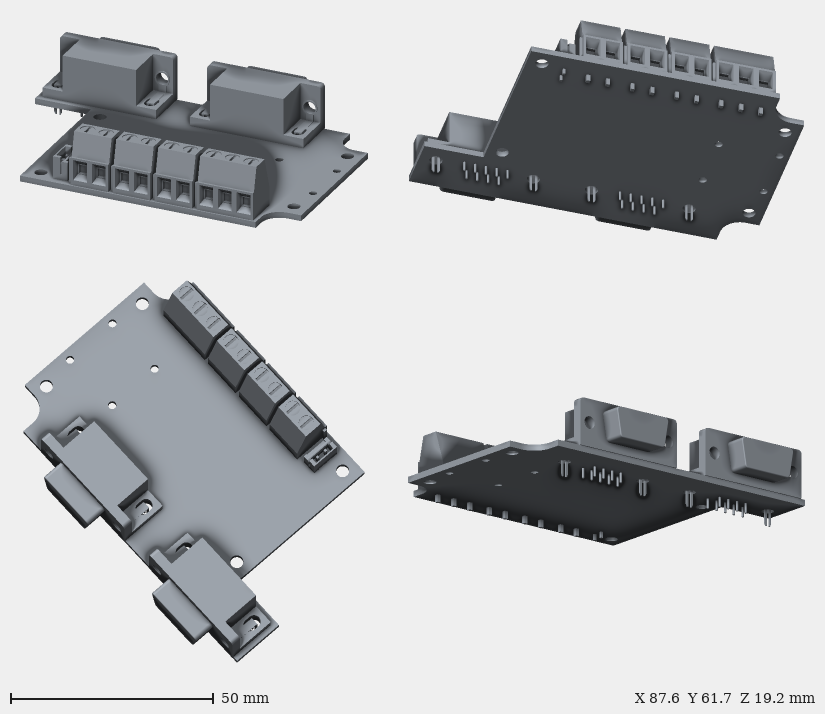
import cadquery as cq
import math


BOARD_LENGTH = 87.6
BOARD_DEPTH = 55.7
BOARD_THICK = 1.6
LEFT_NOTCH_LENGTH = 15.2
LEFT_NOTCH_TOP = 41.9
CORNER_CUT_LENGTH = 8.6
CORNER_CUT_DEPTH = 8.15
CORNER_CUT_RADIUS = 5.0
MOUNT_HOLE_DIA = 3.2
MOUNT_HOLES = [(19.0, 3.85), (19.0, 38.8), (83.9, 12.1), (83.9, 43.8)]
SMALL_HOLE_DIA = 2.0
SMALL_HOLES = [(69.4, 20.9), (69.4, 35.0), (85.0, 20.9), (85.0, 35.0)]

DSUB_CENTERS_X = [16.7, 56.7]
DSUB_WIDTH = 30.8
DSUB_TOP = 13.9
DSUB_BACK_Y = 43.4
DSUB_BODY_WIDTH = 19.9
DSUB_BASE_HEIGHT = 2.5
FLANGE_BACK_Y = 53.5
FLANGE_CORNER_RADIUS = 1.0
PLATE_FRONT_Y = 56.1
PLATE_THICK = 0.35
SHELL_FRONT_Y = 61.7
SHELL_HEIGHT = 7.9
SHELL_TOP_WIDTH = 16.7
SHELL_SIDE_ANGLE = 10.0
SHELL_CORNER_RADIUS = 1.0
SHELL_RIM_RADIUS = 0.3
DSUB_AXIS_Z = 7.8
DSUB_PIN_DIA = 0.64
DSUB_PIN_PITCH = 2.77
DSUB_PIN_TIP_Z = -2.6
DSUB_PIN_CHAMFER = 0.2
DSUB_PIN_ROWS = [(5, 45.1), (4, 48.0)]

LOCK_OFFSET_X = 12.5
LOCK_THICK = 0.35
LOCK_PROUD = 0.1
LOCK_WIDTH = 2.0
LOCK_EYELET_DIA = 4.0
LOCK_HOLE_DIA = 3.2
LOCK_END_Y = 46.2
LOCK_LEG_WIDTH = 0.6
LOCK_LEG_CHAMFER = 0.35
LOCK_TIP_Z = -3.85
LOCK_SLOT_DIA = 3.2
LOCK_SLOT_Y = 46.4
LOCK_SLOT_TRAVEL = 1.3

TERMINAL_POLES = [2, 2, 2, 3]
TERMINAL_PITCH = 5.1
TERMINAL_FIRST_X = 28.65
TERMINAL_GAP = 1.2
TERMINAL_FRONT_Y = 0.4
TERMINAL_BACK_Y = 10.25
TERMINAL_TOP = 15.3
LEDGE_Z = 9.0
LEDGE_DEPTH = 0.6
SLOPE_BASE_BACK_Z = 6.6
CROWN_FRONT_Y = 2.5
CROWN_BACK_Y = 7.4
TERMINAL_KEY = (0.7, 1.05, 1.9, 8.5)
SCREW_DIA = 3.8
SCREW_SINK = 0.3
SCREW_SLOT_WIDTH = 0.7
SCREW_SLOT_DEPTH = 0.5
WINDOW_WIDTH = 3.7
WINDOW_Z = (3.0, 8.4)
THROAT_SIZE = 2.9
THROAT_Z = 5.35
FUNNEL_DEPTH = 1.9
CLAMP_SIZE = 2.4
CLAMP_DEPTH = 0.9
TERMINAL_PIN_SIZE = 1.0
TERMINAL_PIN_Y = 5.1
TERMINAL_PIN_TIP_Z = -1.9

HEADER_X = (23.2, 27.1)
HEADER_Y = (1.9, 9.5)
HEADER_TOP = 7.6
HEADER_STEP_X = 25.1
HEADER_STEP_Z = 6.05
HEADER_LOW_TOP = 6.6
HEADER_ROUND_X = 26.1
HEADER_CAVITY_X = (23.6, 25.6)
HEADER_END_WALL = 1.0
HEADER_CAVITY_FLOOR = 3.0
HEADER_LATCH_X = 26.3
HEADER_LATCH_FLOOR = 5.7
HEADER_GROOVE = (0.4, 3.0, 6.1)
HEADER_GROOVE_DEPTH = 0.4
HEADER_FOOT_GAP = 0.3
HEADER_FOOT_WIDTH = 1.75
HEADER_PIN_SIZE = 0.64
HEADER_PIN_X = 24.8
HEADER_PIN_PITCH = 2.5
HEADER_PIN_TOP = 6.1
HEADER_PIN_TIP_Z = -1.6


def block(x_range, y_range, z_range):
    """Box given by its limits along the three axes."""
    size = [high - low for low, high in (x_range, y_range, z_range)]
    corner = (x_range[0], y_range[0], z_range[0])
    return cq.Workplane("XY").box(*size, centered=False).translate(corner)


def centered_range(center, width):
    return (center - width / 2, center + width / 2)


def upright_cylinder(x, y, diameter, bottom, top):
    return cq.Workplane("XY", origin=(x, y, bottom)).circle(diameter / 2).extrude(top - bottom)


def square_pin(x, y, size, bottom, top):
    return block(centered_range(x, size), centered_range(y, size), (bottom, top))


def facing_cylinder(x, z, diameter, front_y, back_y):
    """Cylinder along Y between two Y positions."""
    plane = cq.Workplane("XZ", origin=(x, back_y, z))
    return plane.circle(diameter / 2).extrude(back_y - front_y)


def terminal_starts():
    """Left X of each terminal block together with its number of poles."""
    starts = []
    x = TERMINAL_FIRST_X
    for poles in TERMINAL_POLES:
        starts.append((x, poles))
        x += poles * TERMINAL_PITCH + TERMINAL_GAP
    return starts


def pole_positions(start_x, poles):
    return [start_x + (i + 0.5) * TERMINAL_PITCH for i in range(poles)]


def dsub_pin_positions(center_x):
    """The two pin rows are staggered by half a pitch."""
    positions = []
    for count, y in DSUB_PIN_ROWS:
        for i in range(count):
            positions.append((center_x + (i - (count - 1) / 2) * DSUB_PIN_PITCH, y))
    return positions


def lock_positions(center_x):
    return [center_x - LOCK_OFFSET_X, center_x + LOCK_OFFSET_X]


def header_pin_positions():
    middle = sum(HEADER_Y) / 2
    return [middle - HEADER_PIN_PITCH / 2, middle + HEADER_PIN_PITCH / 2]


def make_board():
    cut_x = BOARD_LENGTH - CORNER_CUT_LENGTH
    cut_top_y = BOARD_DEPTH - CORNER_CUT_DEPTH
    outline = [
        (LEFT_NOTCH_LENGTH, 0),
        (cut_x, 0),
        (cut_x, CORNER_CUT_DEPTH),
        (BOARD_LENGTH, CORNER_CUT_DEPTH),
        (BOARD_LENGTH, cut_top_y),
        (cut_x, cut_top_y),
        (cut_x, BOARD_DEPTH),
        (0, BOARD_DEPTH),
        (0, LEFT_NOTCH_TOP),
        (LEFT_NOTCH_LENGTH, LEFT_NOTCH_TOP),
    ]
    board = cq.Workplane("XY").polyline(outline).close().extrude(BOARD_THICK)
    for y in (CORNER_CUT_DEPTH, cut_top_y):
        corner = cq.selectors.NearestToPointSelector((cut_x, y, BOARD_THICK / 2))
        board = board.edges("|Z").edges(corner).fillet(CORNER_CUT_RADIUS)

    holes = [(x, y, MOUNT_HOLE_DIA) for x, y in MOUNT_HOLES]
    holes += [(x, y, SMALL_HOLE_DIA) for x, y in SMALL_HOLES]
    for center_x in DSUB_CENTERS_X:
        holes += [(x, LOCK_SLOT_Y, LOCK_SLOT_DIA) for x in lock_positions(center_x)]
        holes += [(x, y, DSUB_PIN_DIA) for x, y in dsub_pin_positions(center_x)]
    for x, y, diameter in holes:
        board = board.cut(upright_cylinder(x, y, diameter, 0, BOARD_THICK))
    for start_x, poles in terminal_starts():
        for x in pole_positions(start_x, poles):
            board = board.cut(terminal_pin(x, 0))
    for y in header_pin_positions():
        board = board.cut(header_pin(y, 0, BOARD_THICK))
    return board


def flange_slab(center_x, back_y, front_y):
    """Upright slab with its two top corners rounded."""
    slab = block(centered_range(center_x, DSUB_WIDTH), (back_y, front_y), (BOARD_THICK, DSUB_TOP))
    return slab.edges("|Y and >Z").fillet(FLANGE_CORNER_RADIUS)


def make_shell(center_x):
    """D-shaped plug: wide at the top, sides leaning in towards the bottom."""
    half_top = SHELL_TOP_WIDTH / 2
    half_bottom = half_top - SHELL_HEIGHT * math.tan(math.radians(SHELL_SIDE_ANGLE))
    half_height = SHELL_HEIGHT / 2
    outline = [
        (-half_top, half_height),
        (half_top, half_height),
        (half_bottom, -half_height),
        (-half_bottom, -half_height),
    ]
    plane = cq.Workplane("XZ", origin=(center_x, SHELL_FRONT_Y, DSUB_AXIS_Z))
    shell = plane.polyline(outline).close().extrude(SHELL_FRONT_Y - PLATE_FRONT_Y)
    shell = shell.edges("|Y").fillet(SHELL_CORNER_RADIUS)
    return shell.faces(">Y").edges().fillet(SHELL_RIM_RADIUS)


def make_lock_slot(x):
    """Slot through the base, lengthened towards the flange from the hole in the board."""
    length = LOCK_SLOT_DIA + LOCK_SLOT_TRAVEL
    plane = cq.Workplane("XY", origin=(x, LOCK_SLOT_Y + LOCK_SLOT_TRAVEL / 2, BOARD_THICK))
    return plane.slot2D(length, LOCK_SLOT_DIA, 90).extrude(DSUB_BASE_HEIGHT)


def make_lock(x):
    """Bent strip: eyelet on the flange, run along the base, two legs down through the board."""
    base_top = BOARD_THICK + DSUB_BASE_HEIGHT
    strip_top = base_top + LOCK_PROUD
    strip_x = centered_range(x, LOCK_WIDTH)
    eyelet_front = FLANGE_BACK_Y - LOCK_THICK
    lock = facing_cylinder(x, DSUB_AXIS_Z, LOCK_EYELET_DIA, eyelet_front, FLANGE_BACK_Y)
    lock = lock.union(block(strip_x, (eyelet_front, FLANGE_BACK_Y), (base_top, DSUB_AXIS_Z)))
    lock = lock.union(block(strip_x, (LOCK_END_Y, FLANGE_BACK_Y), (strip_top - LOCK_THICK, strip_top)))
    leg_y = (LOCK_END_Y, LOCK_END_Y + LOCK_THICK)
    for side, outer_edges in ((-1, "<X"), (1, ">X")):
        leg_x = centered_range(x + side * (LOCK_WIDTH - LOCK_LEG_WIDTH) / 2, LOCK_LEG_WIDTH)
        leg = block(leg_x, leg_y, (LOCK_TIP_Z, strip_top))
        leg = leg.faces("<Z").edges(outer_edges).chamfer(2 * LOCK_LEG_CHAMFER, LOCK_LEG_CHAMFER)
        lock = lock.union(leg)
    return lock


def make_dsub(center_x):
    plate_back = PLATE_FRONT_Y - PLATE_THICK
    base_top = BOARD_THICK + DSUB_BASE_HEIGHT
    depth = (DSUB_BACK_Y, FLANGE_BACK_Y)
    dsub = block(centered_range(center_x, DSUB_WIDTH), depth, (BOARD_THICK, base_top))
    dsub = dsub.union(block(centered_range(center_x, DSUB_BODY_WIDTH), depth, (BOARD_THICK, DSUB_TOP)))
    dsub = dsub.union(flange_slab(center_x, FLANGE_BACK_Y, plate_back))
    for x in lock_positions(center_x):
        dsub = dsub.cut(make_lock_slot(x)).union(make_lock(x))
    dsub = dsub.union(flange_slab(center_x, plate_back, PLATE_FRONT_Y), clean=False)
    dsub = dsub.union(make_shell(center_x), clean=False)
    for x in lock_positions(center_x):
        hole = facing_cylinder(x, DSUB_AXIS_Z, LOCK_HOLE_DIA, FLANGE_BACK_Y - LOCK_THICK, PLATE_FRONT_Y)
        dsub = dsub.cut(hole, clean=False)
    for x, y in dsub_pin_positions(center_x):
        pin = upright_cylinder(x, y, DSUB_PIN_DIA, DSUB_PIN_TIP_Z, BOARD_THICK)
        pin = pin.faces("<Z").chamfer(DSUB_PIN_CHAMFER)
        dsub = dsub.union(pin, clean=False)
    return dsub


def terminal_housing(start_x, width):
    ledge_back_y = TERMINAL_FRONT_Y + LEDGE_DEPTH
    profile = [
        (TERMINAL_FRONT_Y, BOARD_THICK),
        (TERMINAL_FRONT_Y, LEDGE_Z),
        (ledge_back_y, LEDGE_Z),
        (CROWN_FRONT_Y, TERMINAL_TOP),
        (CROWN_BACK_Y, TERMINAL_TOP),
        (TERMINAL_BACK_Y, SLOPE_BASE_BACK_Z),
        (TERMINAL_BACK_Y, BOARD_THICK),
    ]
    plane = cq.Workplane("YZ", origin=(start_x, 0, 0))
    housing = plane.polyline(profile).close().extrude(width)
    reach, key_front, key_back, key_top = TERMINAL_KEY
    key = block((start_x - reach, start_x), (key_front, key_back), (BOARD_THICK, key_top))
    return housing.union(key)


def wire_window(x):
    """Funnel in the front face that narrows to a throat, with a square clamp recess behind it."""
    window_height = WINDOW_Z[1] - WINDOW_Z[0]
    drop = THROAT_Z - sum(WINDOW_Z) / 2
    plane = cq.Workplane("XZ", origin=(x, TERMINAL_FRONT_Y, sum(WINDOW_Z) / 2))
    funnel = (
        plane.rect(WINDOW_WIDTH, window_height)
        .workplane(offset=-FUNNEL_DEPTH)
        .center(0, drop)
        .rect(THROAT_SIZE, THROAT_SIZE)
        .loft(ruled=True)
    )
    throat_y = TERMINAL_FRONT_Y + FUNNEL_DEPTH
    clamp = block(
        centered_range(x, CLAMP_SIZE),
        (throat_y, throat_y + CLAMP_DEPTH),
        centered_range(THROAT_Z, CLAMP_SIZE),
    )
    return funnel.union(clamp)


def screw_recess(x):
    """Round screw well with a driver slot in the screw head."""
    y = (CROWN_FRONT_Y + CROWN_BACK_Y) / 2
    head_z = TERMINAL_TOP - SCREW_SINK
    well = upright_cylinder(x, y, SCREW_DIA, head_z, TERMINAL_TOP)
    slot_z = (head_z - SCREW_SLOT_DEPTH, head_z)
    slot = block(centered_range(x, SCREW_SLOT_WIDTH), centered_range(y, SCREW_DIA), slot_z)
    slot = slot.intersect(upright_cylinder(x, y, SCREW_DIA, *slot_z))
    return well.union(slot)


def terminal_pin(x, bottom):
    return square_pin(x, TERMINAL_PIN_Y, TERMINAL_PIN_SIZE, bottom, BOARD_THICK)


def make_terminal(start_x, poles):
    terminal = terminal_housing(start_x, poles * TERMINAL_PITCH)
    for x in pole_positions(start_x, poles):
        terminal = terminal.cut(wire_window(x)).cut(screw_recess(x))
        terminal = terminal.union(terminal_pin(x, TERMINAL_PIN_TIP_Z))
    return terminal


def header_pin(y, bottom, top):
    return square_pin(HEADER_PIN_X, y, HEADER_PIN_SIZE, bottom, top)


def make_header():
    left, right = HEADER_X
    front, back = HEADER_Y
    plane = cq.Workplane("XZ", origin=(0, back, 0))
    rise = HEADER_LOW_TOP - HEADER_STEP_Z
    run = HEADER_ROUND_X - HEADER_STEP_X
    quarter = math.sin(math.pi / 4)
    mid_round = (HEADER_ROUND_X - run * quarter, HEADER_STEP_Z + rise * quarter)
    header = (
        plane.moveTo(left, BOARD_THICK)
        .lineTo(left, HEADER_TOP)
        .lineTo(HEADER_STEP_X, HEADER_TOP)
        .lineTo(HEADER_STEP_X, HEADER_STEP_Z)
        .threePointArc(mid_round, (HEADER_ROUND_X, HEADER_LOW_TOP))
        .lineTo(right, HEADER_LOW_TOP)
        .lineTo(right, BOARD_THICK)
        .close()
        .extrude(back - front)
    )
    inner_y = (front + HEADER_END_WALL, back - HEADER_END_WALL)
    header = header.cut(block(HEADER_CAVITY_X, inner_y, (HEADER_CAVITY_FLOOR, HEADER_TOP)))
    header = header.cut(block((HEADER_LATCH_X, right), inner_y, (HEADER_LATCH_FLOOR, HEADER_TOP)))

    groove_width, groove_bottom, groove_top = HEADER_GROOVE
    groove_x = (HEADER_STEP_X, HEADER_STEP_X + groove_width)
    for end_y in ((front, front + HEADER_GROOVE_DEPTH), (back - HEADER_GROOVE_DEPTH, back)):
        header = header.cut(block(groove_x, end_y, (groove_bottom, groove_top)))
    for y in header_pin_positions():
        foot_gap = block(
            (left, HEADER_CAVITY_X[0]),
            centered_range(y, HEADER_FOOT_WIDTH),
            (BOARD_THICK, BOARD_THICK + HEADER_FOOT_GAP),
        )
        header = header.cut(foot_gap).union(header_pin(y, HEADER_PIN_TIP_Z, HEADER_PIN_TOP))
    return header


board = make_board()
dsubs = [make_dsub(x) for x in DSUB_CENTERS_X]
terminals = [make_terminal(x, poles) for x, poles in terminal_starts()]
header = make_header()

result = cq.Compound.makeCompound(
    [
        board.val(),
        *[dsub.val() for dsub in dsubs],
        *[terminal.val() for terminal in terminals],
        header.val(),
    ]
)